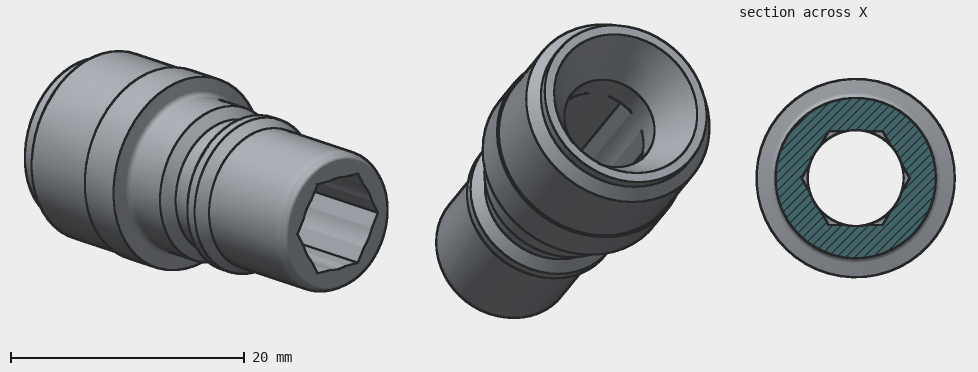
import cadquery as cq
import math

length = 32.0

mouth_diameter = 14.7
body_diameter = 16.66
collar_diameter = 17.0
shoulder_diameter = 13.75
groove_diameter = 11.85
spigot_diameter = 12.4

mouth_end = 1.0
collar_start = 9.0
collar_end = 12.69
root_round_end = 13.4
shoulder_end = 16.85
groove_floor_start = 17.8
groove_floor_end = 19.4
ridge_end = 21.3
spigot_start = 22.4

root_round_radius = 0.5
root_round_sweep = 75.0

lead_in_angle = 28.0
lead_in_length = 0.8
lead_in_blend_radius = 1.05
tip_edge_radius = 0.3

bore_diameter = 8.2
mouth_bore_diameter = 13.0
mouth_cone_angle = 30.0

hexagon_sides = 6
hexagon_across_flats = 8.0
hexagon_start = 7.0


def make_outside():
    """Turned outer shape, with the groove flanks at 45 degrees."""
    mouth_radius = mouth_diameter / 2
    body_radius = body_diameter / 2
    collar_radius = collar_diameter / 2
    shoulder_radius = shoulder_diameter / 2
    groove_radius = groove_diameter / 2
    spigot_radius = spigot_diameter / 2

    body_start = mouth_end + (body_radius - mouth_radius)
    ridge_start = groove_floor_end + (shoulder_radius - groove_radius)
    sweep = math.radians(root_round_sweep)
    root_round_start = (
        root_round_end - root_round_radius * math.sin(sweep),
        shoulder_radius + root_round_radius * (1 - math.cos(sweep)),
    )

    slope = math.radians(lead_in_angle)
    cone_start = length - lead_in_length
    cone_end_radius = spigot_radius - lead_in_length * math.tan(slope)
    blend_setback = lead_in_blend_radius * math.tan(slope / 2)
    tip_setback = tip_edge_radius * math.tan((math.pi / 2 - slope) / 2)
    blend_end = (
        cone_start + blend_setback * math.cos(slope),
        spigot_radius - blend_setback * math.sin(slope),
    )
    tip_round_start = (
        length - tip_setback * math.cos(slope),
        cone_end_radius + tip_setback * math.sin(slope),
    )

    profile = (
        cq.Workplane("XY")
        .moveTo(0, 0)
        .lineTo(0, mouth_radius)
        .lineTo(mouth_end, mouth_radius)
        .lineTo(body_start, body_radius)
        .lineTo(collar_start, body_radius)
        .lineTo(collar_start, collar_radius)
        .lineTo(collar_end, collar_radius)
        .lineTo(*root_round_start)
        .radiusArc((root_round_end, shoulder_radius), -root_round_radius)
        .lineTo(shoulder_end, shoulder_radius)
        .lineTo(groove_floor_start, groove_radius)
        .lineTo(groove_floor_end, groove_radius)
        .lineTo(ridge_start, shoulder_radius)
        .lineTo(ridge_end, shoulder_radius)
        .lineTo(spigot_start, spigot_radius)
        .lineTo(cone_start - blend_setback, spigot_radius)
        .radiusArc(blend_end, lead_in_blend_radius)
        .lineTo(*tip_round_start)
        .radiusArc((length, cone_end_radius - tip_setback), tip_edge_radius)
        .lineTo(length, 0)
        .close()
    )
    return profile.revolve(360, (0, 0, 0), (1, 0, 0))


def make_bore():
    """Through bore with a conical mouth."""
    bore_radius = bore_diameter / 2
    mouth_bore_radius = mouth_bore_diameter / 2
    mouth_cone_depth = (mouth_bore_radius - bore_radius) / math.tan(math.radians(mouth_cone_angle))

    profile = (
        cq.Workplane("XY")
        .moveTo(0, 0)
        .lineTo(0, mouth_bore_radius)
        .lineTo(mouth_cone_depth, bore_radius)
        .lineTo(length, bore_radius)
        .lineTo(length, 0)
        .close()
    )
    return profile.revolve(360, (0, 0, 0), (1, 0, 0))


def make_hexagon():
    """Hexagonal prism with two of its corners on the Y axis."""
    across_corners = hexagon_across_flats / math.cos(math.pi / hexagon_sides)
    return (
        cq.Workplane("YZ", origin=(hexagon_start, 0, 0))
        .polygon(hexagon_sides, across_corners)
        .extrude(length - hexagon_start)
    )


result = make_outside().cut(make_bore()).cut(make_hexagon())